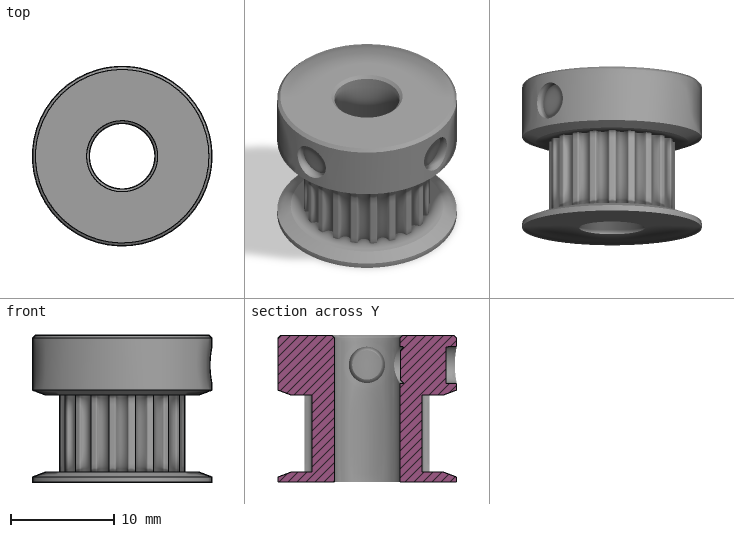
import cadquery as cq
import math

outer_radius = 8.7
total_height = 14.27
rim_thickness = 0.52
flange_thickness = 1.01
flange_face_radius = 7.4
hub_bottom = 8.44
hub_taper_height = flange_thickness - rim_thickness
hub_top_chamfer = 0.3

bore_radius = 3.17
bore_chamfer = 0.28

tooth_count = 20
tooth_tip_radius = 6.1
groove_depth = 0.75
groove_bottom_radius = 0.55
groove_wall_radius = 1.0
groove_half_width = 0.6
tooth_edge_fillet = 0.14

screw_hole_radius = 1.75
screw_height = (hub_bottom + total_height) / 2
screw_tip = 3.2
screw_tip_chamfer = 0.33
screw_head = 7.65
screw_angles = (0, 90)


def make_body():
    """Revolve the lower flange, the plain core and the hub as one profile."""
    root_radius = tooth_tip_radius - groove_depth
    profile = [
        (0, 0),
        (outer_radius, 0),
        (outer_radius, rim_thickness),
        (flange_face_radius, flange_thickness),
        (root_radius, flange_thickness),
        (root_radius, hub_bottom),
        (flange_face_radius, hub_bottom),
        (outer_radius, hub_bottom + hub_taper_height),
        (outer_radius, total_height - hub_top_chamfer),
        (outer_radius - hub_top_chamfer, total_height),
        (0, total_height),
    ]
    return cq.Workplane("XZ").polyline(profile).close().revolve(360, (0, 0), (0, 1))


def make_groove():
    """Cutter for one belt groove on the +X side; its walls blend into the round bottom."""
    wall_centre = groove_wall_radius - groove_half_width
    blend_angle = math.acos(wall_centre / (groove_wall_radius - groove_bottom_radius))
    blend_x = tooth_tip_radius - groove_wall_radius * math.sin(blend_angle)
    blend_y = groove_wall_radius * math.cos(blend_angle) - wall_centre
    middle_x = tooth_tip_radius - groove_wall_radius * math.sin(blend_angle / 2)
    middle_y = groove_wall_radius * math.cos(blend_angle / 2) - wall_centre
    bottom_x = tooth_tip_radius - groove_depth
    outside_x = tooth_tip_radius + groove_depth
    return (
        cq.Workplane("XY", origin=(0, 0, flange_thickness))
        .moveTo(outside_x, groove_half_width)
        .lineTo(tooth_tip_radius, groove_half_width)
        .threePointArc((middle_x, middle_y), (blend_x, blend_y))
        .threePointArc((bottom_x, 0), (blend_x, -blend_y))
        .threePointArc((middle_x, -middle_y), (tooth_tip_radius, -groove_half_width))
        .lineTo(outside_x, -groove_half_width)
        .close()
        .extrude(hub_bottom - flange_thickness)
    )


def make_teeth():
    """Toothed cylinder between the flange and the hub, with rounded tooth edges."""
    teeth = (
        cq.Workplane("XY", origin=(0, 0, flange_thickness))
        .circle(tooth_tip_radius)
        .extrude(hub_bottom - flange_thickness)
    )
    groove = make_groove()
    for index in range(tooth_count):
        teeth = teeth.cut(groove.rotate((0, 0, 0), (0, 0, 1), index * 360 / tooth_count))
    tip_edges = [
        edge for edge in teeth.edges("|Z").vals()
        if math.hypot(edge.Center().x, edge.Center().y) > tooth_tip_radius - tooth_edge_fillet
    ]
    return teeth.newObject(tip_edges).fillet(tooth_edge_fillet)


def make_bore():
    """Through bore with a chamfered mouth at the top."""
    mouth_radius = bore_radius + bore_chamfer
    profile = [
        (0, 0),
        (bore_radius, 0),
        (bore_radius, total_height - bore_chamfer),
        (mouth_radius, total_height),
        (0, total_height),
    ]
    return cq.Workplane("XZ").polyline(profile).close().revolve(360, (0, 0), (0, 1))


def make_screw_hole():
    """Radial hole along +X from the axis to the outside."""
    return (
        cq.Workplane("YZ", origin=(0, 0, screw_height))
        .circle(screw_hole_radius)
        .extrude(outer_radius)
    )


def make_set_screw():
    """Plain screw body filling its hole, chamfered on the tip that points at the bore."""
    return (
        cq.Workplane("YZ", origin=(screw_tip, 0, screw_height))
        .circle(screw_hole_radius)
        .extrude(screw_head - screw_tip)
        .faces("<X")
        .chamfer(screw_tip_chamfer)
    )


result = make_body().union(make_teeth()).cut(make_bore())
open_hole = make_screw_hole().cut(make_set_screw())
for screw_angle in screw_angles:
    result = result.cut(open_hole.rotate((0, 0, 0), (0, 0, 1), screw_angle))